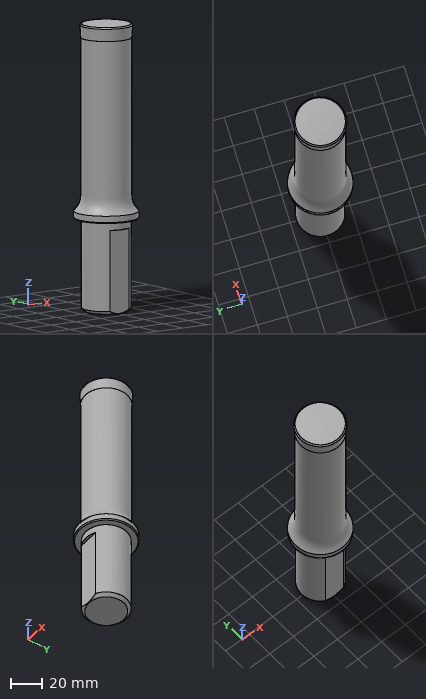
import cadquery as cq
import math

total_length = 187.0

shank_radius = 32.0 / 2
shank_length = 60.2
shank_chamfer = 2.2
flat_distance = 14.0
flat_top = 54.8

flange_radius = 42.0 / 2
flange_thickness = 5.6
flange_chamfer = 0.7
neck_fillet_radius = 12.7

shaft_radius = 33.0 / 2

head_length = 9.4
head_radius = 34.0 / 2
head_rim_chamfer = 1.0
center_radius = 16.6 / 2
tip_radius = 1.1
rim_drop = 0.4
center_drop = 0.1

flange_top = shank_length + flange_thickness
head_bottom = total_length - head_length


def make_holder():
    """Shank, flange and shaft turned in one piece, with a clamping flat."""
    fillet_foot_radius = flange_radius - flange_chamfer
    fillet_axis = shaft_radius + neck_fillet_radius
    fillet_angle = math.acos((fillet_axis - fillet_foot_radius) / neck_fillet_radius)
    fillet_top = flange_top + neck_fillet_radius * math.sin(fillet_angle)
    fillet_middle = (
        fillet_axis - neck_fillet_radius * math.cos(fillet_angle / 2),
        fillet_top - neck_fillet_radius * math.sin(fillet_angle / 2),
    )
    turned = (
        cq.Workplane("XZ")
        .lineTo(shank_radius - shank_chamfer, 0)
        .lineTo(shank_radius, shank_chamfer)
        .lineTo(shank_radius, shank_length)
        .lineTo(flange_radius - flange_chamfer, shank_length)
        .lineTo(flange_radius, shank_length + flange_chamfer)
        .lineTo(flange_radius, flange_top - flange_chamfer)
        .lineTo(fillet_foot_radius, flange_top)
        .threePointArc(fillet_middle, (shaft_radius, fillet_top))
        .lineTo(shaft_radius, head_bottom)
        .lineTo(0, head_bottom)
        .close()
        .revolve(360, (0, 0), (0, 1))
    )
    flat_cutter = cq.Workplane("XY").box(
        2 * shank_radius, shank_radius, flat_top, centered=(True, False, False)
    ).translate((0, -flat_distance - shank_radius, 0))
    return turned.cut(flat_cutter)


def make_head():
    """Cutting head that widens from the shaft to its rim, with a very shallow two-step cone on top."""
    rim_top = total_length - rim_drop
    return (
        cq.Workplane("XZ")
        .moveTo(0, head_bottom)
        .lineTo(shaft_radius, head_bottom)
        .lineTo(head_radius, rim_top - head_rim_chamfer)
        .lineTo(head_radius - head_rim_chamfer, rim_top)
        .lineTo(center_radius, total_length - center_drop)
        .lineTo(tip_radius, total_length)
        .lineTo(0, total_length)
        .close()
        .revolve(360, (0, 0), (0, 1))
    )


holder = make_holder()
head = make_head()

result = cq.Compound.makeCompound([holder.val(), head.val()])